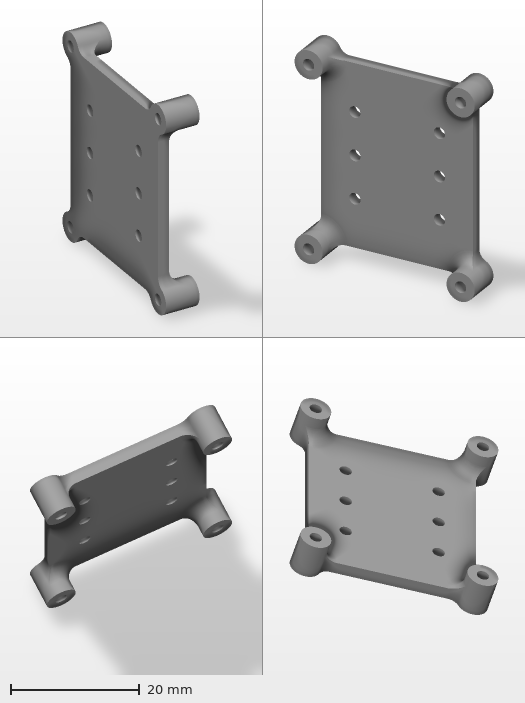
import cadquery as cq
import math

length = 37.0
width = 32.0
depth = 6.0
plate_thickness = 2.0

post_radius = 5.0 / 2
hole_diameter = 2.0
blend_radius = 2.0
hole_pitch = 7.5

post_x = width / 2 - post_radius
post_z = length / 2 - post_radius
post_points = [(sx * post_x, sz * post_z) for sx in (-1, 1) for sz in (-1, 1)]

front = cq.Workplane("XZ")


def corner_web(sx, sz, along_x):
    """Fill between a post and one plate edge, bounded by a concave arc tangent to both."""
    reach = math.sqrt((post_radius + blend_radius) ** 2 - blend_radius**2)
    contact = post_radius / (post_radius + blend_radius)
    post_touch = (reach * contact, blend_radius * contact)
    edge_touch = (reach, 0)

    chord_x = (post_touch[0] + edge_touch[0]) / 2 - reach
    chord_z = (post_touch[1] + edge_touch[1]) / 2 - blend_radius
    stretch = blend_radius / math.hypot(chord_x, chord_z)
    arc_middle = (reach + chord_x * stretch, blend_radius + chord_z * stretch)

    def place(point):
        inward, outward = point
        if along_x:
            return sx * (post_x - inward), sz * (post_z + outward)
        return sx * (post_x + outward), sz * (post_z - inward)

    return (
        front.moveTo(*place((0, 0)))
        .lineTo(*place(post_touch))
        .threePointArc(place(arc_middle), place(edge_touch))
        .close()
        .extrude(-depth)
    )


def post_foot(x, z):
    """Flared ring that blends a post into the back of the plate."""
    flare_radius = post_radius + blend_radius
    flare_top = plate_thickness + blend_radius
    diagonal = blend_radius * math.sqrt(0.5)
    profile = (
        cq.Workplane("XY")
        .lineTo(flare_radius, 0)
        .lineTo(flare_radius, plate_thickness)
        .threePointArc((flare_radius - diagonal, flare_top - diagonal), (post_radius, flare_top))
        .lineTo(0, flare_top)
        .close()
    )
    return profile.revolve(360, (0, 0, 0), (0, 1, 0)).translate((x, 0, z))


outline = front.rect(2 * post_x, 2 * post_z).extrude(-depth)
posts = front.pushPoints(post_points).circle(post_radius).extrude(-depth)
outline = outline.union(posts)
for side_x in (-1, 1):
    for side_z in (-1, 1):
        for along_x in (True, False):
            outline = outline.union(corner_web(side_x, side_z, along_x))

body = front.rect(width, length).extrude(-plate_thickness)
for x, z in post_points:
    body = body.union(post_foot(x, z))
body = body.intersect(outline).union(posts)

plate_hole_points = [(sx * hole_pitch, row * hole_pitch) for sx in (-1, 1) for row in (-1, 0, 1)]
holes = front.pushPoints(post_points + plate_hole_points).circle(hole_diameter / 2).extrude(-depth)
result = body.cut(holes)